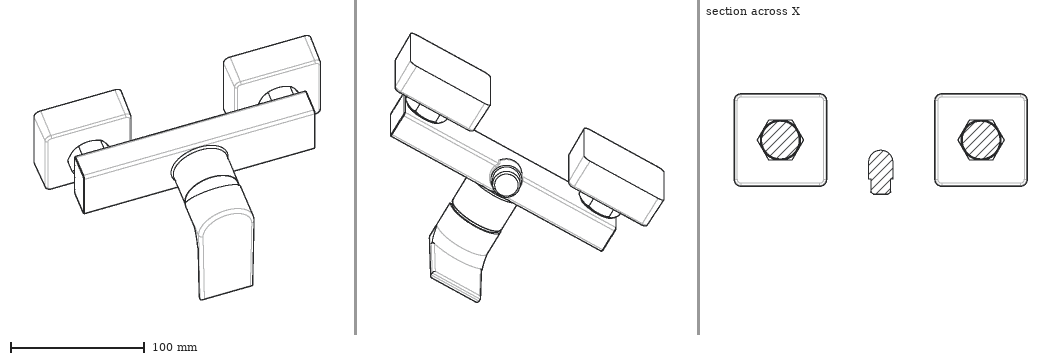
import cadquery as cq
import math


overall_width = 219.0
plate_side = 69.2
plate_depth = 25.2
plate_draft_angle = 1.5
plate_corner_radius = 5.3
plate_front_fillet = 1.8
plate_centre_y = (overall_width - plate_side) / 2

body_back_x = 39.9
body_depth = 21.7
body_length = 183.0
body_height = 48.2
body_edge_fillet = 2.2
body_end_chamfer = 0.7
body_front_x = body_back_x + body_depth

nut_sides = 6
nut_across_flats = 30.0
nut_across_corners = nut_across_flats / math.cos(math.pi / nut_sides)
nut_front_x = 39.0
nut_chamfer_length = 1.8
nut_end_radius = nut_across_flats / 2
nut_neck_radius = 14.2

outlet_x = 46.0
outlet_radius = 11.5
dome_centre_z = -16.6
shoulder_z = -29.1
spout_radius = 10.3
spout_bottom_z = -40.5
spout_chamfer = 1.5
outlet_joint_fillet = 1.0

control_axis_z = -1.3
sleeve_radius = 21.5
sleeve_front_x = 89.5
flare_radius = 22.5
flare_length = 2.0
neck_back_radius = 21.0
neck_front_radius = 17.0

cap_radius = 22.0
cap_back_x = 91.5
cap_top_back_x = 100.5
handle_front_x = 124.8
handle_front_fillet = 2.6
lever_thickness = 6.1
lever_bottom_z = -84.3
lever_bottom_half_width = 20.8
lever_back_fillet = 1.8
cove_radius = 7.5
lever_back_x = handle_front_x - lever_thickness
cove_start_x = lever_back_x - cove_radius


def rod(radius, start_x, end_x, y, z):
    """Round bar along X."""
    return cq.Workplane("YZ", origin=(start_x, y, z)).circle(radius).extrude(end_x - start_x)


def wall_plate(y):
    return (
        cq.Workplane("YZ", origin=(0, y, 0))
        .sketch()
        .rect(plate_side, plate_side)
        .vertices()
        .fillet(plate_corner_radius)
        .finalize()
        .extrude(plate_depth, taper=plate_draft_angle)
        .faces(">X")
        .edges()
        .fillet(plate_front_fillet)
    )


def union_nut(y):
    """Hexagon with two corners along Y and both ends turned to a cone."""
    length = nut_front_x - plate_depth
    corner_radius = nut_across_corners / 2
    hexagon = (
        cq.Workplane("YZ", origin=(plate_depth, y, 0))
        .polygon(nut_sides, nut_across_corners)
        .extrude(length)
    )
    turned_blank = (
        rod(corner_radius, plate_depth, nut_front_x, y, 0)
        .faces("<X or >X")
        .edges()
        .chamfer(nut_chamfer_length, corner_radius - nut_end_radius)
    )
    neck = rod(nut_neck_radius, plate_depth, body_back_x + body_edge_fillet, y, 0)
    return hexagon.intersect(turned_blank).union(neck)


def mixer_body():
    return (
        cq.Workplane("XY")
        .box(body_depth, body_length, body_height)
        .translate((body_back_x + body_depth / 2, 0, 0))
        .edges("|Y")
        .fillet(body_edge_fillet)
        .faces("<Y or >Y")
        .edges()
        .chamfer(body_end_chamfer)
    )


def outlet_elbow():
    """Upright round housing with a domed top."""
    return (
        cq.Workplane("XZ", origin=(outlet_x, 0, 0))
        .moveTo(0, shoulder_z)
        .lineTo(outlet_radius, shoulder_z)
        .lineTo(outlet_radius, dome_centre_z)
        .radiusArc((0, dome_centre_z + outlet_radius), -outlet_radius)
        .close()
        .revolve(360, (0, 0, 0), (0, 1, 0))
    )


def outlet_spout():
    return (
        cq.Workplane("XY", origin=(outlet_x, 0, spout_bottom_z))
        .circle(spout_radius)
        .extrude(dome_centre_z - spout_bottom_z)
        .faces("<Z")
        .chamfer(spout_chamfer)
    )


def turned_about_control_axis(points):
    """Solid of revolution about the control axis from (x, radius) points."""
    start_x = points[0][0]
    end_x = points[-1][0]
    profile = [(start_x, 0)] + points + [(end_x, 0)]
    return (
        cq.Workplane("XZ", origin=(0, 0, control_axis_z))
        .polyline(profile)
        .close()
        .revolve(360, (0, 0, 0), (1, 0, 0))
    )


def cartridge_sleeve():
    """Flared sleeve followed by the tapering neck that enters the cap."""
    return turned_about_control_axis([
        (body_front_x - body_edge_fillet, flare_radius),
        (body_front_x, flare_radius),
        (body_front_x + flare_length, sleeve_radius),
        (sleeve_front_x, sleeve_radius),
        (sleeve_front_x, neck_back_radius),
        (cap_top_back_x, neck_front_radius),
    ])


def handle_cap():
    """Round cap whose upper back is cut away by a sloping plane."""
    cap = rod(cap_radius, cap_back_x, handle_front_x - handle_front_fillet, 0, control_axis_z)
    slope = (cap_top_back_x - cap_back_x) / cap_radius
    cut_height = 2 * cap_radius
    wedge = (
        cq.Workplane("XZ", origin=(cap_back_x, 0, control_axis_z))
        .polyline([(0, 0), (slope * cut_height, cut_height), (0, cut_height)])
        .close()
        .extrude(cap_radius, both=True)
    )
    return cap.cut(wedge)


def lever_blank(start_x):
    """Round head with a slightly tapering blade hanging below it."""
    drop = lever_bottom_z - control_axis_z
    return (
        cq.Workplane("YZ", origin=(start_x, 0, control_axis_z))
        .moveTo(cap_radius, 0)
        .threePointArc((0, cap_radius), (-cap_radius, 0))
        .lineTo(-lever_bottom_half_width, drop)
        .lineTo(lever_bottom_half_width, drop)
        .close()
        .extrude(handle_front_x - start_x)
    )


def lever():
    blade = lever_blank(lever_back_x)
    blade = blade.faces("<X").edges("%LINE").fillet(lever_back_fillet)
    return blade.faces(">X").edges().fillet(handle_front_fillet)


def lever_cove():
    """Hollow round between the cap and the lever, filling the lever's rounded back edges beside the cap."""
    wall_radius = cap_radius + cove_radius
    wall_end_x = lever_back_x + lever_back_fillet
    ring = (
        cq.Workplane("XZ", origin=(0, 0, control_axis_z))
        .moveTo(cove_start_x, 0)
        .lineTo(cove_start_x, cap_radius)
        .radiusArc((lever_back_x, wall_radius), -cove_radius)
        .lineTo(wall_end_x, wall_radius)
        .lineTo(wall_end_x, 0)
        .close()
        .revolve(360, (0, 0, 0), (1, 0, 0))
    )
    return ring.intersect(lever_blank(cove_start_x))


def body_with_outlet():
    """Body and outlet housing, blended where they meet, with the hose spout below."""
    joined = mixer_body().union(outlet_elbow())
    margin = 0.2
    joint_box = cq.selectors.BoxSelector(
        (body_back_x - margin, -outlet_radius, -body_height / 2 - margin),
        (outlet_x + outlet_radius + margin, outlet_radius, dome_centre_z + outlet_radius),
    )
    return joined.edges(joint_box).fillet(outlet_joint_fillet).union(outlet_spout())


def handle():
    return handle_cap().union(lever()).union(lever_cove())


result = body_with_outlet().union(cartridge_sleeve()).union(handle())
for side in (-1, 1):
    result = result.union(wall_plate(side * plate_centre_y))
    result = result.union(union_nut(side * plate_centre_y))